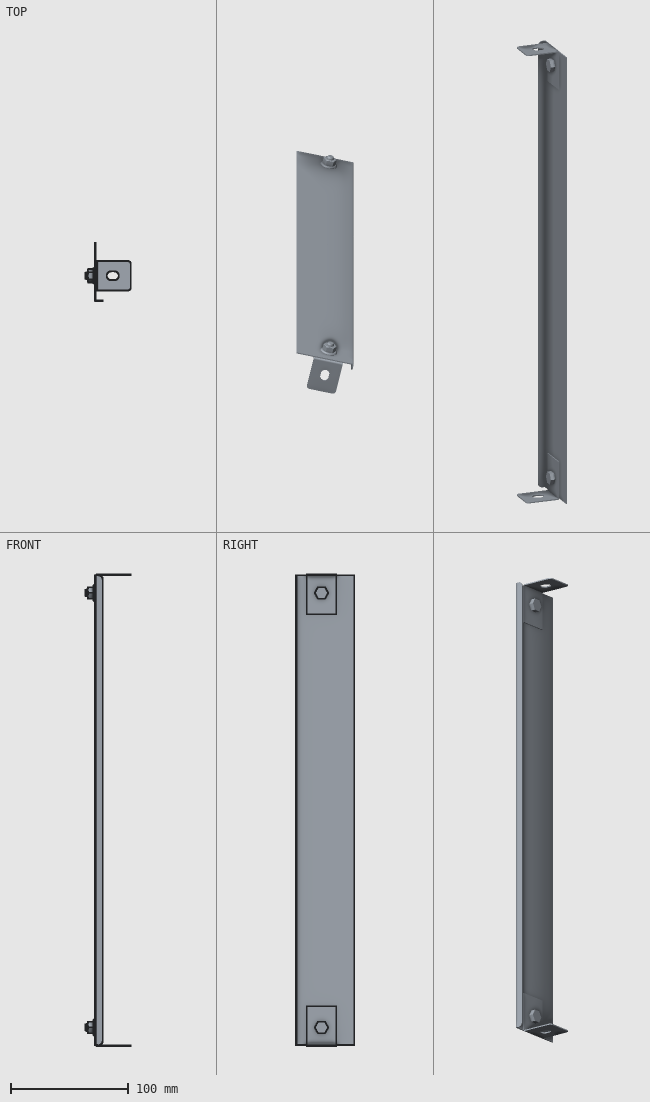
import cadquery as cq
import math

TOTAL_HEIGHT = 402.0
TOTAL_LENGTH = 39.0
SHEET = 1.0

PANEL_WIDTH = 50.0
PANEL_HEIGHT = TOTAL_HEIGHT - 2 * SHEET
PANEL_FRONT_X = -11.3
PANEL_BACK_X = PANEL_FRONT_X + SHEET
FLANGE_DEPTH = 7.0
FLANGE_END_X = PANEL_FRONT_X + FLANGE_DEPTH
FLANGE_CORNER_RADIUS = 3.5
BEND_RADIUS = 1.2

BRACKET_WIDTH = 25.5
BRACKET_Y = -3.0
BRACKET_LEG = 34.0
TAB_END_X = TOTAL_LENGTH / 2
TAB_CORNER_RADIUS = 3.0
BRACKET_BEND_RADIUS = 1.5
SLOT_LENGTH = 10.0
SLOT_WIDTH = 7.2
SLOT_X = 4.0

FASTENER_Y = BRACKET_Y
FASTENER_Z = 185.0
FASTENER_HEIGHTS = (-FASTENER_Z, FASTENER_Z)
HEXAGON_SIDES = 6
HEXAGON_TURN = 180 / HEXAGON_SIDES
BOLT_DIAMETER = 6.0
BOLT_END_DIAMETER = 5.0
BOLT_END_X = -TOTAL_LENGTH / 2
BOLT_END_TAPER = 1.2
BOLT_HEAD_FLATS = 10.0
BOLT_HEAD_HEIGHT = 4.0
NUT_FLATS = BOLT_HEAD_FLATS
NUT_HEIGHT = 6.0
NUT_CHAMFER_DIAMETER = 9.5
NUT_FLANGE_DIAMETER = 14.5
NUT_CHAMFER_ANGLE = 30
NUT_FLANGE_HEIGHT = 1.2
NUT_FLANGE_TOP_DIAMETER = 12.5

BRACKET_BACK_X = PANEL_BACK_X + SHEET


def disc_x(diameter, x_start, x_end, z):
    """Cylinder between two X positions on the fastener axis at height z."""
    return (
        cq.Workplane("YZ", origin=(x_start, FASTENER_Y, z))
        .circle(diameter / 2)
        .extrude(x_end - x_start)
    )


def hexagon_x(across_flats, x_start, x_end, z):
    """Hexagonal prism on the fastener axis at height z, with flats facing up and down."""
    return (
        cq.Workplane("YZ", origin=(x_start, FASTENER_Y, z))
        .transformed(rotate=(0, 0, HEXAGON_TURN))
        .polygon(HEXAGON_SIDES, across_flats, circumscribed=True)
        .extrude(x_end - x_start)
    )


def make_panel():
    """Front sheet with a short return flange bent back along its -Y edge."""
    half_width = PANEL_WIDTH / 2
    panel = (
        cq.Workplane("XY", origin=(0, 0, -PANEL_HEIGHT / 2))
        .moveTo(PANEL_FRONT_X, half_width)
        .lineTo(PANEL_FRONT_X, -half_width)
        .lineTo(FLANGE_END_X, -half_width)
        .lineTo(FLANGE_END_X, -half_width + SHEET)
        .lineTo(PANEL_BACK_X, -half_width + SHEET)
        .lineTo(PANEL_BACK_X, half_width)
        .close()
        .extrude(PANEL_HEIGHT)
    )
    panel = panel.edges("|Z and <X and <Y").fillet(BEND_RADIUS)
    panel = panel.edges("|Y and >X").fillet(FLANGE_CORNER_RADIUS)
    for z in FASTENER_HEIGHTS:
        panel = panel.cut(disc_x(BOLT_DIAMETER, PANEL_FRONT_X, PANEL_BACK_X, z))
    return panel


def make_upper_bracket():
    """L-shaped bracket lying behind the panel, with a slotted tab at the top."""
    top = TOTAL_HEIGHT / 2
    bracket = (
        cq.Workplane("XZ", origin=(0, BRACKET_Y + BRACKET_WIDTH / 2, 0))
        .moveTo(PANEL_BACK_X, top - BRACKET_LEG)
        .lineTo(PANEL_BACK_X, top)
        .lineTo(TAB_END_X, top)
        .lineTo(TAB_END_X, top - SHEET)
        .lineTo(BRACKET_BACK_X, top - SHEET)
        .lineTo(BRACKET_BACK_X, top - BRACKET_LEG)
        .close()
        .extrude(BRACKET_WIDTH)
    )
    bracket = bracket.edges("|Y and <X and >Z").fillet(BRACKET_BEND_RADIUS)
    bracket = bracket.edges("|Z and >X").fillet(TAB_CORNER_RADIUS)
    slot = (
        cq.Workplane("XY", origin=(SLOT_X, BRACKET_Y, top))
        .slot2D(SLOT_LENGTH, SLOT_WIDTH)
        .extrude(-SHEET)
    )
    hole = disc_x(BOLT_DIAMETER, PANEL_BACK_X, BRACKET_BACK_X, FASTENER_Z)
    return bracket.cut(slot).cut(hole)


def make_bolt(z):
    """Hexagon-head bolt whose tapered end points toward -X, head against the bracket."""
    end_chamfer = (BOLT_DIAMETER - BOLT_END_DIAMETER) / 2
    shank = disc_x(BOLT_DIAMETER, BOLT_END_X, BRACKET_BACK_X, z)
    shank = shank.faces("<X").chamfer(BOLT_END_TAPER, end_chamfer)
    head = hexagon_x(BOLT_HEAD_FLATS, BRACKET_BACK_X, BRACKET_BACK_X + BOLT_HEAD_HEIGHT, z)
    return shank.union(head)


def make_nut(z):
    """Hexagon nut with a round flange, its outer corners cut to a cone."""
    nut_end_x = PANEL_FRONT_X - NUT_HEIGHT
    body = hexagon_x(NUT_FLATS, nut_end_x, PANEL_FRONT_X, z)
    chamfered_blank = disc_x(NUT_FLANGE_DIAMETER, nut_end_x, PANEL_FRONT_X, z)
    chamfer_depth = (NUT_FLANGE_DIAMETER - NUT_CHAMFER_DIAMETER) / 2
    chamfer_height = chamfer_depth * math.tan(math.radians(NUT_CHAMFER_ANGLE))
    chamfered_blank = chamfered_blank.faces("<X").chamfer(chamfer_height, chamfer_depth)
    flange = disc_x(NUT_FLANGE_DIAMETER, PANEL_FRONT_X - NUT_FLANGE_HEIGHT, PANEL_FRONT_X, z)
    flange_chamfer = (NUT_FLANGE_DIAMETER - NUT_FLANGE_TOP_DIAMETER) / 2
    flange = flange.faces("<X").chamfer(flange_chamfer)
    bore = disc_x(BOLT_DIAMETER, nut_end_x, PANEL_FRONT_X, z)
    return body.intersect(chamfered_blank).union(flange).cut(bore)


panel = make_panel()
upper_bracket = make_upper_bracket()
lower_bracket = upper_bracket.mirror("XY")
bolts = [make_bolt(z) for z in FASTENER_HEIGHTS]
nuts = [make_nut(z) for z in FASTENER_HEIGHTS]

bodies = [panel, upper_bracket, lower_bracket, *bolts, *nuts]
result = cq.Compound.makeCompound([body.val() for body in bodies])